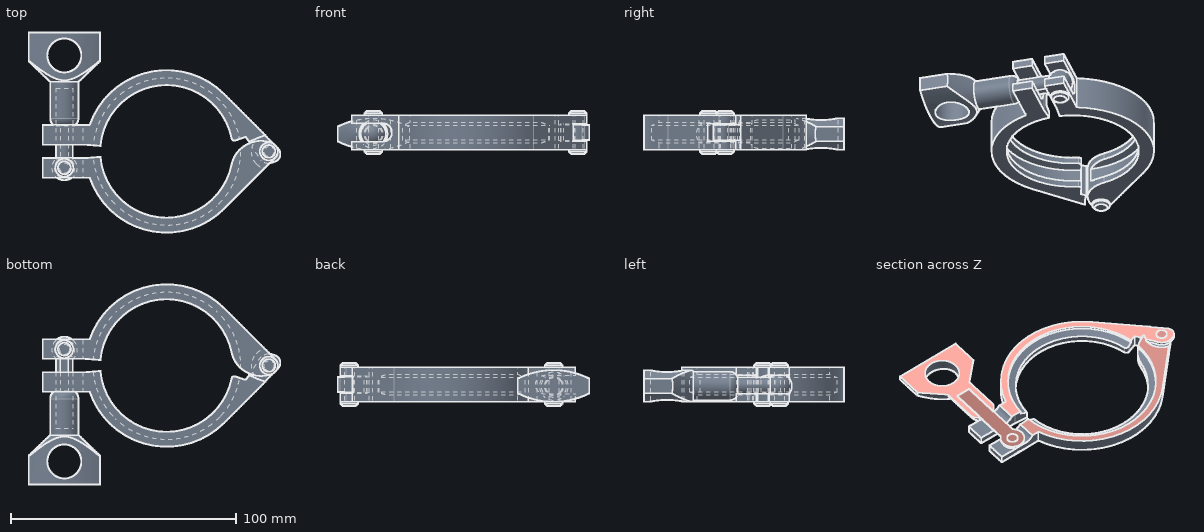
import cadquery as cq
import math

bore_radius = 29.4
ring_radius = 36.1
height = 15.4
half_height = height / 2
groove_depth = 3.4
groove_rise = 1.5
lip_height = 3.1

arm_end_x = -55.1
arm_inner_y = 2.9
arm_outer_y = 11.8
slot_height = 8.2
slot_end_x = -37.2

pivot_x = 45.4
diagonal = math.sqrt(0.5)
ring_tangent = ring_radius * diagonal
fork_end_radius = ring_radius - pivot_x * diagonal
shoulder_radius = 13.4
fork_slot_height = 7.6
fork_slot_radius = 7.8
tongue_height = 6.7
tongue_radius = 5.3
tongue_tip_fillet = 3.6
tongue_slope = 20.0
tongue_flank_inset = 0.2
notch_corner = (35.1, 6.4)
notch_foot = (36.7, 4.3)
tongue_heel = (36.9, 3.4)
clearance_middle = (39.8, 5.7)
clearance_end = (43.2, 6.9)
lip_face_start = (28.6, 4.1)
lip_fillet = 1.3

pin_diameter = 4.5
head_diameter = 8.0
head_height = 1.9
head_chamfer = 1.1

bolt_x = -45.4
bolt_z = -0.7
ball_y = -7.3
ball_radius = 5.6
rod_diameter = 7.6
swing_thickness = 8.1
rod_end_y = 28.0
nut_base_y = 11.3
nut_round_y = 14.7
nut_base_radius = 4.3
nut_round_radius = 3.7
collar_diameter = 12.6
collar_radius = collar_diameter / 2
collar_end_y = 30.9
wing_corner_y = 40.4
wing_top_y = 52.9
wing_width = 31.8
wing_edge_thickness = 6.6
wing_thickness = 14.1
wing_hole_y = 42.6
wing_hole_diameter = 15.0


def prism(outline, thickness):
    """Extrude a closed XY outline symmetrically about the plane Z = 0."""
    return outline.close().extrude(thickness / 2, both=True)


def disc(x, y, radius, thickness):
    return cq.Workplane("XY").center(x, y).circle(radius).extrude(thickness / 2, both=True)


def bore_with_groove():
    """The bore and the tapered groove in its wall, as one cutter."""
    mouth_z = half_height - lip_height
    floor_z = mouth_z - groove_rise
    groove_radius = bore_radius + groove_depth
    groove = (
        cq.Workplane("XZ")
        .moveTo(0, -mouth_z)
        .lineTo(bore_radius, -mouth_z)
        .lineTo(groove_radius, -floor_z)
        .lineTo(groove_radius, floor_z)
        .lineTo(bore_radius, mouth_z)
        .lineTo(0, mouth_z)
        .close()
        .revolve(360, (0, 0, 0), (0, 1, 0))
    )
    return disc(0, 0, bore_radius, height).union(groove)


def arm(side):
    """Straight clamping arm; side is +1 for the upper half and -1 for the lower one."""
    length = -arm_end_x - bore_radius * math.cos(math.asin(arm_outer_y / bore_radius))
    width = arm_outer_y - arm_inner_y
    return (
        cq.Workplane("XY")
        .box(length, width, height, centered=(False, True, True))
        .translate((arm_end_x, side * (arm_outer_y + arm_inner_y) / 2, 0))
    )


def arm_slot():
    """Slot for the bolt, open at the arm ends and rounded at its inner end."""
    radius = slot_height / 2
    return (
        cq.Workplane("XZ")
        .moveTo(arm_end_x, -radius)
        .lineTo(slot_end_x - radius, -radius)
        .threePointArc((slot_end_x, 0), (slot_end_x - radius, radius))
        .lineTo(arm_end_x, radius)
        .close()
        .extrude(arm_outer_y, both=True)
    )


def ring_start(side):
    """Outline from the arm's root, round the outside of the ring to its flat flank."""
    root_x = -math.sqrt(ring_radius**2 - arm_inner_y**2)
    return (
        cq.Workplane("XY")
        .moveTo(0, 0)
        .lineTo(root_x, side * arm_inner_y)
        .threePointArc((0, side * ring_radius), (ring_tangent, side * ring_tangent))
    )


def make_lower_half():
    shoulder_distance = bore_radius + shoulder_radius
    pivot_distance = shoulder_radius - fork_end_radius
    cosine = (shoulder_distance**2 + pivot_x**2 - pivot_distance**2) / (2 * shoulder_distance * pivot_x)
    angle = -math.acos(cosine)
    center = (shoulder_distance * math.cos(angle), shoulder_distance * math.sin(angle))
    bore_touch = (bore_radius * math.cos(angle), bore_radius * math.sin(angle))
    end_scale = shoulder_radius / pivot_distance
    fork_touch = (center[0] + (pivot_x - center[0]) * end_scale, center[1] * (1 - end_scale))
    shoulder_middle = (
        center[0] - shoulder_radius * diagonal,
        center[1] + shoulder_radius * diagonal,
    )
    flank_end = (pivot_x + fork_end_radius * diagonal, -fork_end_radius * diagonal)
    body = prism(
        ring_start(-1)
        .lineTo(*flank_end)
        .threePointArc((pivot_x + fork_end_radius, 0), fork_touch)
        .threePointArc(shoulder_middle, bore_touch),
        height,
    )
    fork_slot = disc(pivot_x, 0, fork_slot_radius, fork_slot_height)
    pivot_hole = disc(pivot_x, 0, pin_diameter / 2, height)
    pin_hole = disc(bolt_x, ball_y, pin_diameter / 2, height)
    return (
        body.union(arm(-1))
        .cut(bore_with_groove())
        .cut(arm_slot())
        .cut(fork_slot)
        .cut(pivot_hole)
        .cut(pin_hole)
    )


def make_tongue():
    """Hinge tongue, with a sloping underside that meets the flank line in a rounded tip."""
    slope = math.radians(tongue_slope)
    flank_sum = ring_radius / diagonal - tongue_flank_inset
    underside_touch = (pivot_x + tongue_radius * math.sin(slope), -tongue_radius * math.cos(slope))
    reach = (flank_sum - sum(underside_touch)) / (math.cos(slope) + math.sin(slope))
    tip = (
        underside_touch[0] + reach * math.cos(slope),
        underside_touch[1] + reach * math.sin(slope),
    )
    heel_touch = (pivot_x - tongue_radius * math.cos(slope), -tongue_radius * math.sin(slope))
    arc_middle = (pivot_x - tongue_radius * diagonal, -tongue_radius * diagonal)
    tongue = prism(
        cq.Workplane("XY")
        .moveTo(*notch_foot)
        .lineTo(*tongue_heel)
        .lineTo(*heel_touch)
        .threePointArc(arc_middle, underside_touch)
        .lineTo(*tip)
        .lineTo(flank_sum - clearance_end[1], clearance_end[1])
        .lineTo(*clearance_end)
        .threePointArc(clearance_middle, notch_foot),
        tongue_height,
    )
    tip_edge = cq.selectors.NearestToPointSelector((*tip, 0))
    return tongue.edges("|Z").edges(tip_edge).fillet(tongue_tip_fillet)


def make_upper_half(lower):
    flank_end = (2 * ring_tangent - clearance_end[1], clearance_end[1])
    body = prism(
        ring_start(1)
        .lineTo(*flank_end)
        .lineTo(*clearance_end)
        .threePointArc(clearance_middle, notch_foot)
        .lineTo(*notch_corner)
        .lineTo(*lip_face_start),
        height,
    )
    lip_edge = cq.selectors.NearestToPointSelector((*lip_face_start, 0))
    body = body.union(arm(1)).cut(disc(0, 0, bore_radius, height))
    body = body.edges("|Z").edges(lip_edge).fillet(lip_fillet)
    pivot_hole = disc(pivot_x, 0, pin_diameter / 2, height)
    return (
        body.union(make_tongue())
        .cut(bore_with_groove())
        .cut(arm_slot())
        .cut(pivot_hole)
        .cut(lower)
    )


def make_pin(x, y):
    """Riveted pin along Z with a chamfered head on each side of the clamp."""
    pin = disc(x, y, pin_diameter / 2, height)
    top_head = (
        cq.Workplane("XY")
        .center(x, y)
        .circle(head_diameter / 2)
        .extrude(head_height)
        .faces(">Z")
        .chamfer(head_chamfer)
        .translate((0, 0, half_height))
    )
    return pin.union(top_head).union(top_head.mirror("XY"))


def bolt_cylinder(start_y, end_y, diameter):
    return (
        cq.Workplane("XZ", origin=(bolt_x, start_y, bolt_z))
        .circle(diameter / 2)
        .extrude(start_y - end_y)
    )


def make_bolt():
    """Ball-ended swing bolt, flattened to pass between the slot walls as far as the nut."""
    ball = cq.Workplane("XY").sphere(ball_radius).translate((bolt_x, ball_y, bolt_z))
    flat_length = nut_base_y - ball_y + ball_radius
    flats = (
        cq.Workplane("XY")
        .box(2 * ball_radius, flat_length, swing_thickness, centered=(True, False, True))
        .translate((bolt_x, ball_y - ball_radius, 0))
    )
    swing_end = ball.union(bolt_cylinder(ball_y, nut_base_y, rod_diameter)).intersect(flats)
    pin_hole = disc(bolt_x, ball_y, pin_diameter / 2, height)
    return swing_end.union(bolt_cylinder(nut_base_y, rod_end_y, rod_diameter)).cut(pin_hole)


def make_wing_nut():
    """Round-nosed collar flaring as a cone into a lens-shaped wing."""
    corner_radius = math.hypot(wing_width, wing_edge_thickness) / 2
    turned = (
        cq.Workplane("XY")
        .moveTo(0, nut_base_y)
        .lineTo(nut_base_radius, nut_base_y)
        .radiusArc((collar_radius, nut_round_y), -nut_round_radius)
        .lineTo(collar_radius, collar_end_y)
        .lineTo(corner_radius, wing_corner_y)
        .lineTo(corner_radius, wing_top_y)
        .lineTo(0, wing_top_y)
        .close()
        .revolve(360, (0, 0, 0), (0, 1, 0))
        .translate((bolt_x, 0, bolt_z))
    )
    half_width = wing_width / 2
    half_edge = wing_edge_thickness / 2
    lens = (
        cq.Workplane("XZ", origin=(bolt_x, wing_top_y, bolt_z))
        .moveTo(-half_width, -half_edge)
        .threePointArc((0, -wing_thickness / 2), (half_width, -half_edge))
        .lineTo(half_width, half_edge)
        .threePointArc((0, wing_thickness / 2), (-half_width, half_edge))
        .close()
        .extrude(wing_top_y - nut_base_y)
    )
    cross_hole = disc(bolt_x, wing_hole_y, wing_hole_diameter / 2, 2 * wing_thickness)
    rod_hole = bolt_cylinder(nut_base_y, rod_end_y, rod_diameter)
    return turned.intersect(lens).cut(cross_hole).cut(rod_hole)


bolt = make_bolt()
wing_nut = make_wing_nut()
lower_half = make_lower_half()
upper_half = make_upper_half(lower_half).cut(wing_nut).cut(bolt)
pins = [make_pin(x, y) for x, y in [(pivot_x, 0), (bolt_x, ball_y)]]

result = cq.Compound.makeCompound(
    [
        upper_half.val(),
        lower_half.val(),
        bolt.val(),
        wing_nut.val(),
        *[pin.val() for pin in pins],
    ]
)